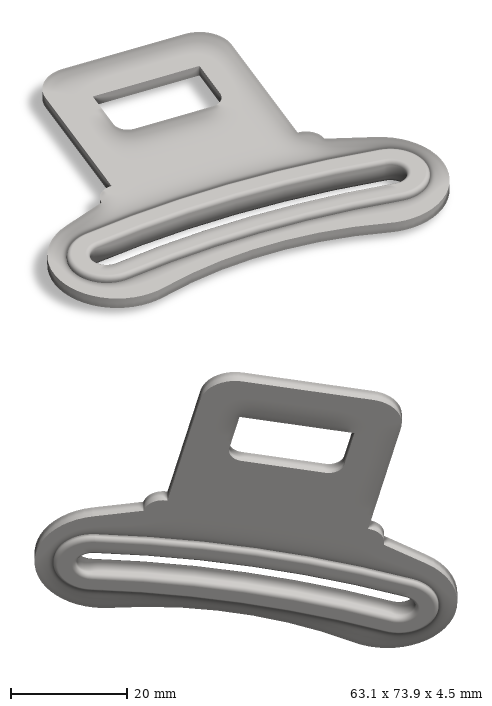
import cadquery as cq
import math

overall_width = 73.9
plate_length = 63.1
plate_thickness = 2.1
tab_half_width = 17.7
tab_corner_radius = 6.1

bump_radius = 3.5
bump_center_x = 36.6

lobe_radius = 12.05
lobe_x = plate_length - lobe_radius
lobe_y = overall_width / 2 - lobe_radius
waist_x = 59.35

window_left = 9.2
window_right = 20.3
window_half_width = 10.1
window_corner_radius = 2.7

ring_height = 4.5
ring_middle_x = 48.9
ring_end_x = 51.1
ring_end_y = 26.9
ring_half_width = 6.9
slot_half_width = 2.9
ring_edge_fillet = 0.75


def curved_slot(half_width, height):
    """Round-ended bar around the ring's centre arc, centred on Z = 0."""
    sag = ring_end_x - ring_middle_x
    arc_radius = (ring_end_y**2 + sag**2) / (2 * sag)
    arc_center_x = ring_middle_x + arc_radius
    end_angle = math.asin(ring_end_y / arc_radius)

    def on_arc(radius, angle):
        return (arc_center_x - radius * math.cos(angle), radius * math.sin(angle))

    outer = arc_radius + half_width
    inner = arc_radius - half_width
    tip_x = ring_end_x + half_width * math.sin(end_angle)
    tip_y = ring_end_y + half_width * math.cos(end_angle)
    return (
        cq.Workplane("XY", origin=(0, 0, -height / 2))
        .moveTo(*on_arc(outer, -end_angle))
        .threePointArc(on_arc(outer, 0), on_arc(outer, end_angle))
        .threePointArc((tip_x, tip_y), on_arc(inner, end_angle))
        .threePointArc(on_arc(inner, 0), on_arc(inner, -end_angle))
        .threePointArc((tip_x, -tip_y), on_arc(outer, -end_angle))
        .close()
        .extrude(height)
    )


def plate_outline():
    """Tab, shoulder bumps, lobes and concave waist, centred on Z = 0."""
    bump_left = bump_center_x - bump_radius
    bump_top = (bump_center_x, tab_half_width + bump_radius)
    bump_reach = bump_radius * math.sqrt(0.5)
    bump_middle = (bump_center_x - bump_reach, tab_half_width + bump_reach)

    to_lobe_x = lobe_x - bump_top[0]
    to_lobe_y = lobe_y - bump_top[1]
    lobe_distance = math.hypot(to_lobe_x, to_lobe_y)
    flank_angle = math.atan2(to_lobe_y, to_lobe_x) + math.asin(lobe_radius / lobe_distance)
    flank_length = math.sqrt(lobe_distance**2 - lobe_radius**2)
    flank_end = (
        bump_top[0] + flank_length * math.cos(flank_angle),
        bump_top[1] + flank_length * math.sin(flank_angle),
    )

    waist_offset = waist_x - lobe_x
    waist_radius = (waist_offset**2 + lobe_y**2 - lobe_radius**2) / (2 * (lobe_radius - waist_offset))
    waist_angle = math.atan2(lobe_y, waist_offset + waist_radius)
    waist_end = (
        lobe_x + lobe_radius * math.cos(waist_angle),
        lobe_y - lobe_radius * math.sin(waist_angle),
    )
    lobe_tip_y = overall_width / 2

    def mirrored(point):
        return (point[0], -point[1])

    return (
        cq.Workplane("XY", origin=(0, 0, -plate_thickness / 2))
        .moveTo(0, -tab_half_width)
        .lineTo(0, tab_half_width)
        .lineTo(bump_left, tab_half_width)
        .threePointArc(bump_middle, bump_top)
        .lineTo(*flank_end)
        .threePointArc((lobe_x, lobe_tip_y), waist_end)
        .threePointArc((waist_x, 0), mirrored(waist_end))
        .threePointArc((lobe_x, -lobe_tip_y), mirrored(flank_end))
        .lineTo(*mirrored(bump_top))
        .threePointArc(mirrored(bump_middle), (bump_left, -tab_half_width))
        .close()
        .extrude(plate_thickness)
    )


def make_window():
    """Latch window with its two right-hand corners rounded."""
    window_length = window_right - window_left
    return (
        cq.Workplane("XY")
        .center((window_left + window_right) / 2, 0)
        .rect(window_length, 2 * window_half_width)
        .extrude(plate_thickness / 2, both=True)
        .edges("|Z and >X")
        .fillet(window_corner_radius)
    )


def make_tongue_plate():
    plate = plate_outline().edges("|Z and <X").fillet(tab_corner_radius)
    ring_opening = curved_slot(ring_half_width, plate_thickness)
    return plate.cut(make_window()).cut(ring_opening)


def make_belt_ring():
    """Ring seated in the plate's opening, standing proud of both faces."""
    ring = curved_slot(ring_half_width, ring_height).cut(curved_slot(slot_half_width, ring_height))
    return ring.faces("<Z or >Z").edges().fillet(ring_edge_fillet)


tongue_plate = make_tongue_plate()
belt_ring = make_belt_ring()
result = cq.Compound.makeCompound([tongue_plate.val(), belt_ring.val()])